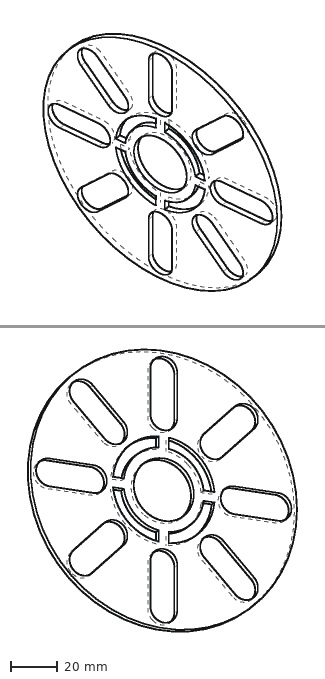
import cadquery as cq

disc_diameter = 127.0
thickness = 3.0
bore_diameter = 28.6

slot_count = 8
slot_width = 12.7
slot_inner_reach = 27.2
slot_outer_reach = 60.8

ring_inner_diameter = 38.4
ring_outer_diameter = 48.5
bridge_width = 4.8


def back_plane():
    """Sketch plane on the +Y face of the disc, with its normal towards -Y."""
    return cq.Workplane("XZ", origin=(0, thickness / 2, 0))


def cylinder(diameter):
    """Full-thickness cylinder about the disc axis, centred on the XZ plane."""
    return back_plane().circle(diameter / 2).extrude(thickness)


def radial_slots():
    """Cutters for the slots, evenly spaced around the disc."""
    length = slot_outer_reach - slot_inner_reach
    centre_radius = (slot_outer_reach + slot_inner_reach) / 2
    return (
        back_plane()
        .polarArray(centre_radius, 0, 360, slot_count)
        .slot2D(length, slot_width)
        .extrude(thickness)
    )


def ring_windows():
    """Cutters for the four arc-shaped windows left between the bridges."""
    ring = cylinder(ring_outer_diameter).cut(cylinder(ring_inner_diameter))
    bridge_along_x = cq.Workplane("XY").box(ring_outer_diameter, thickness, bridge_width)
    bridge_along_z = cq.Workplane("XY").box(bridge_width, thickness, ring_outer_diameter)
    return ring.cut(bridge_along_x).cut(bridge_along_z)


disc = cylinder(disc_diameter).cut(cylinder(bore_diameter))
result = disc.cut(radial_slots()).cut(ring_windows())